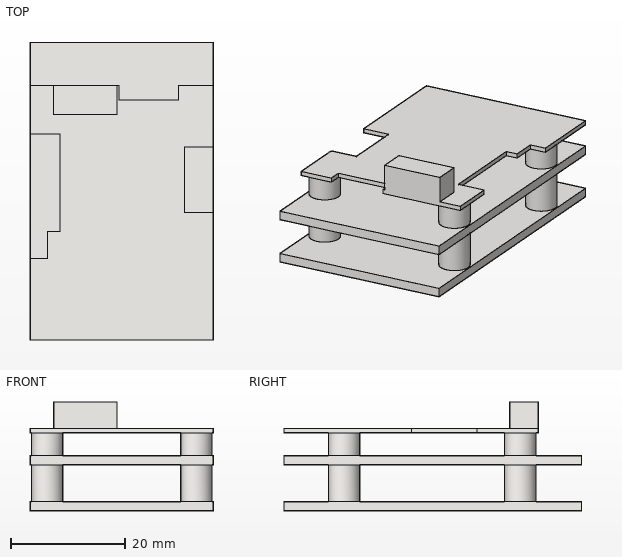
import cadquery as cq

WIDTH = 32.0
LENGTH = 52.0
PLATE_THICKNESS = 1.6
PLATE_PITCH = 8.0
POST_DIAMETER = 5.5
POST_SIDE_INSET = 2.95
POST_FRONT_INSET = 10.5
POST_BACK_INSET = 10.7

TOTAL_HEIGHT = 19.05
BOARD_THICKNESS = 0.8
BOARD_BOTTOM = 13.6
BOARD_BACK_SETBACK = 7.55

CONNECTOR_WIDTH = 11.1
CONNECTOR_LENGTH = 5.05
CONNECTOR_LEFT_INSET = 4.1

BACK_NOTCH_WIDTH = 10.4
BACK_NOTCH_DEPTH = 2.5
BACK_NOTCH_RIGHT_INSET = 6.1

RIGHT_NOTCH_START = 22.3
RIGHT_NOTCH_LENGTH = 11.45
RIGHT_NOTCH_DEPTH = 5.05

LEFT_NOTCH_START = 14.3
LEFT_NOTCH_STEP = 19.0
LEFT_NOTCH_END = 36.0
LEFT_NOTCH_SHALLOW_DEPTH = 3.0
LEFT_NOTCH_DEEP_DEPTH = 5.2

LEFT = -WIDTH / 2
RIGHT = WIDTH / 2
FRONT = -LENGTH / 2
BACK = LENGTH / 2
BOARD_BACK = BACK - BOARD_BACK_SETBACK
BOARD_TOP = BOARD_BOTTOM + BOARD_THICKNESS


def make_plate(bottom):
    """Full-size rectangular plate with its underside at the given height."""
    return cq.Workplane("XY", origin=(0, 0, bottom)).rect(WIDTH, LENGTH).extrude(PLATE_THICKNESS)


def make_post(x, y):
    """Post from the lower plate, through the middle plate, to the board."""
    return (
        cq.Workplane("XY", origin=(x, y, PLATE_THICKNESS))
        .circle(POST_DIAMETER / 2)
        .extrude(BOARD_BOTTOM - PLATE_THICKNESS)
    )


def make_carrier():
    """Both plates and the four posts as one solid."""
    body = make_plate(0)
    for x in (LEFT + POST_SIDE_INSET, RIGHT - POST_SIDE_INSET):
        for y in (FRONT + POST_FRONT_INSET, BACK - POST_BACK_INSET):
            body = body.union(make_post(x, y))
    return body.union(make_plate(PLATE_PITCH))


def make_board():
    """Thin board with notches in its right, back and left edges."""
    right_notch_x = RIGHT - RIGHT_NOTCH_DEPTH
    right_notch_front = FRONT + RIGHT_NOTCH_START
    right_notch_back = right_notch_front + RIGHT_NOTCH_LENGTH
    back_notch_right = RIGHT - BACK_NOTCH_RIGHT_INSET
    back_notch_left = back_notch_right - BACK_NOTCH_WIDTH
    back_notch_y = BOARD_BACK - BACK_NOTCH_DEPTH
    left_deep_x = LEFT + LEFT_NOTCH_DEEP_DEPTH
    left_shallow_x = LEFT + LEFT_NOTCH_SHALLOW_DEPTH

    outline = [
        (LEFT, FRONT),
        (RIGHT, FRONT),
        (RIGHT, right_notch_front),
        (right_notch_x, right_notch_front),
        (right_notch_x, right_notch_back),
        (RIGHT, right_notch_back),
        (RIGHT, BOARD_BACK),
        (back_notch_right, BOARD_BACK),
        (back_notch_right, back_notch_y),
        (back_notch_left, back_notch_y),
        (back_notch_left, BOARD_BACK),
        (LEFT, BOARD_BACK),
        (LEFT, FRONT + LEFT_NOTCH_END),
        (left_deep_x, FRONT + LEFT_NOTCH_END),
        (left_deep_x, FRONT + LEFT_NOTCH_STEP),
        (left_shallow_x, FRONT + LEFT_NOTCH_STEP),
        (left_shallow_x, FRONT + LEFT_NOTCH_START),
        (LEFT, FRONT + LEFT_NOTCH_START),
    ]
    return (
        cq.Workplane("XY", origin=(0, 0, BOARD_BOTTOM))
        .polyline(outline)
        .close()
        .extrude(BOARD_THICKNESS)
    )


def make_connector():
    """Rectangular connector, flush with the back edge of the board."""
    corner = (LEFT + CONNECTOR_LEFT_INSET, BOARD_BACK - CONNECTOR_LENGTH, BOARD_TOP)
    return (
        cq.Workplane("XY", origin=corner)
        .rect(CONNECTOR_WIDTH, CONNECTOR_LENGTH, centered=False)
        .extrude(TOTAL_HEIGHT - BOARD_TOP)
    )


carrier = make_carrier()
module = make_board().union(make_connector())

result = cq.Compound.makeCompound([carrier.solids().val(), module.solids().val()])